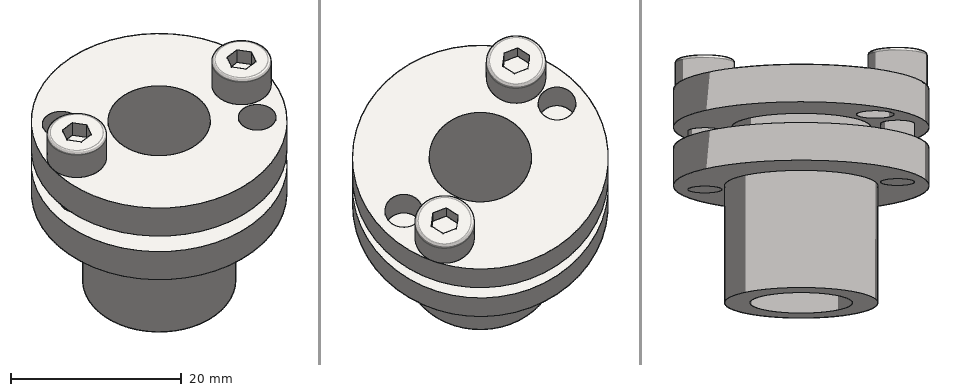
import cadquery as cq
import math

FLANGE_DIAMETER = 30.0
FLANGE_THICKNESS = 4.5
SLEEVE_DIAMETER = 18.0
SLEEVE_LENGTH = 14.0
NECK_DIAMETER = 16.35
NECK_LENGTH = 2.5
BORE_DIAMETER = 12.0

SCREW_COUNT = 2
HEAD_DIAMETER = 7.0
HEAD_HEIGHT = 4.0
HEAD_EDGE_FILLET = 0.4
SHANK_DIAMETER = 4.0
SOCKET_ACROSS_FLATS = 3.0
SOCKET_DEPTH = 2.0
SOCKET_TURN = 45.0
FIRST_SCREW_ANGLE = 90.0

SPARE_HOLE_DIAMETER = 4.4
SPARE_HOLE_OFFSET = -30.0

LOWER_FLANGE_TOP = SLEEVE_LENGTH + FLANGE_THICKNESS
UPPER_FLANGE_BOTTOM = LOWER_FLANGE_TOP + NECK_LENGTH
HUB_TOP = UPPER_FLANGE_BOTTOM + FLANGE_THICKNESS
HEAD_TOP = HUB_TOP + HEAD_HEIGHT
SCREW_CIRCLE_RADIUS = (FLANGE_DIAMETER - HEAD_DIAMETER) / 2
SCREW_ANGLES = [FIRST_SCREW_ANGLE + i * 360 / SCREW_COUNT for i in range(SCREW_COUNT)]


def cylinder(diameter, bottom, top, center=(0, 0)):
    """Upright cylinder between two heights."""
    return cq.Workplane("XY", origin=(*center, bottom)).circle(diameter / 2).extrude(top - bottom)


def on_screw_circle(angle):
    """XY point on the screw circle at an angle in degrees."""
    turn = math.radians(angle)
    return (SCREW_CIRCLE_RADIUS * math.cos(turn), SCREW_CIRCLE_RADIUS * math.sin(turn))


def make_hub():
    """Flanged hub with its bore, screw holes and spare holes."""
    hub = cylinder(SLEEVE_DIAMETER, 0, SLEEVE_LENGTH)
    hub = hub.union(cylinder(FLANGE_DIAMETER, SLEEVE_LENGTH, LOWER_FLANGE_TOP))
    hub = hub.union(cylinder(NECK_DIAMETER, LOWER_FLANGE_TOP, UPPER_FLANGE_BOTTOM))
    hub = hub.union(cylinder(FLANGE_DIAMETER, UPPER_FLANGE_BOTTOM, HUB_TOP))
    hub = hub.cut(cylinder(BORE_DIAMETER, 0, HUB_TOP))
    for angle in SCREW_ANGLES:
        screw_point = on_screw_circle(angle)
        spare_point = on_screw_circle(angle + SPARE_HOLE_OFFSET)
        hub = hub.cut(cylinder(SHANK_DIAMETER, SLEEVE_LENGTH, HUB_TOP, screw_point))
        hub = hub.cut(cylinder(SPARE_HOLE_DIAMETER, UPPER_FLANGE_BOTTOM, HUB_TOP, spare_point))
    return hub


def make_screw(center):
    """Socket head screw ending flush with the underside of the lower flange."""
    head = cylinder(HEAD_DIAMETER, HUB_TOP, HEAD_TOP, center)
    head = head.faces(">Z").edges().fillet(HEAD_EDGE_FILLET)
    shank = cylinder(SHANK_DIAMETER, SLEEVE_LENGTH, HUB_TOP, center)
    across_corners = SOCKET_ACROSS_FLATS / math.cos(math.pi / 6)
    socket = (
        cq.Workplane("XY", origin=(*center, HEAD_TOP))
        .transformed(rotate=(0, 0, SOCKET_TURN))
        .polygon(6, across_corners)
        .extrude(-SOCKET_DEPTH)
    )
    return head.union(shank).cut(socket)


hub = make_hub()
screws = [make_screw(on_screw_circle(angle)) for angle in SCREW_ANGLES]

result = cq.Compound.makeCompound([hub.val(), *[screw.val() for screw in screws]])